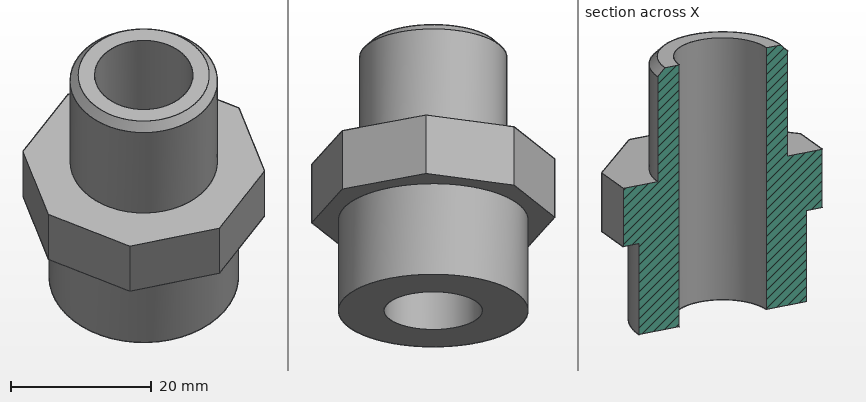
import cadquery as cq
import math

total_height = 40.2
lower_height = 13.95
collar_height = 9.0
lower_diameter = 27.0
upper_diameter = 21.0
bore_diameter = 14.0
across_flats = 32.0
chamfer = 1.15

collar_sides = 8
across_corners = across_flats / math.cos(math.pi / collar_sides)
collar_top = lower_height + collar_height
upper_height = total_height - collar_top


def lower_spigot():
    """Wide plain cylinder standing on the XY plane."""
    return cq.Workplane("XY").circle(lower_diameter / 2).extrude(lower_height)


def octagonal_collar():
    """Wrench collar, turned half a side so its flats face X and Y."""
    half_side_angle = 180 / collar_sides
    return (
        cq.Workplane("XY")
        .workplane(offset=lower_height)
        .transformed(rotate=(0, 0, half_side_angle))
        .polygon(collar_sides, across_corners)
        .extrude(collar_height)
    )


def upper_spigot():
    """Narrow cylinder with a chamfered top rim."""
    return (
        cq.Workplane("XY")
        .workplane(offset=collar_top)
        .circle(upper_diameter / 2)
        .extrude(upper_height)
        .faces(">Z")
        .chamfer(chamfer)
    )


def through_bore():
    """Straight bore along the whole axis."""
    return cq.Workplane("XY").circle(bore_diameter / 2).extrude(total_height)


result = lower_spigot().union(octagonal_collar()).union(upper_spigot()).cut(through_bore())